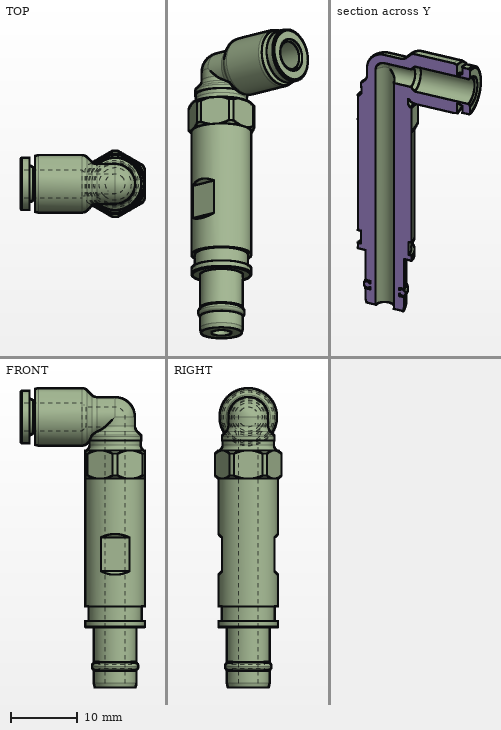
import cadquery as cq
import math


total_height = 45.1
arm_reach = 14.25

collar_diameter = 8.7
collar_radius = collar_diameter / 2
elbow_diameter = 6.0
elbow_radius = elbow_diameter / 2
arm_height = total_height - collar_radius
blend_radius = 1.15
ring_radius = 3.95
ring_width = 1.4
ring_edge = 0.23
ring_neck_root = 2.8
ring_neck_radius = 2.53
ring_neck_flare = 0.5
collar_start = -12.1
collar_lead = 0.55
collar_lead_drop = 0.15
shoulder_start = -5.0

neck_blend_top = 39.35
neck_radius = 3.9
neck_band_radius = 3.95
neck_band_bottom = 37.2
neck_round = 0.4
neck_flare_top = 36.55
neck_flare_radius = 4.35

hex_flats = 9.0
hex_corner_radius = 5.0
hex_bottom = 31.5
hex_top = 35.67
hex_chamfer = 0.45

barrel_radius = 4.5
barrel_bottom = 12.2
groove_radius = 4.0
flange_top = 10.05
flange_bottom = 9.05
flange_edge = 0.15

flat_offset = 3.95
flat_bottom = 17.55
flat_top = 22.6

plug_radius = 3.25
seal_groove_top = 3.9
seal_groove_bottom = 2.53
seal_groove_radius = 2.45
seal_section = 0.6
seal_outer_radius = 3.5
plug_taper_height = 0.68
plug_taper_angle = 15.0

bore_radius = 1.5
socket_radius = 2.1
socket_mouth_radius = 2.45
socket_mouth_depth = 0.3
socket_end = shoulder_start
socket_cone = 0.65

ROUND_RUN = math.sin(math.radians(45))
ROUND_DROP = 1 - math.cos(math.radians(45))
ROUND_MID_RUN = math.sin(math.radians(22.5))
ROUND_MID_DROP = 1 - math.cos(math.radians(22.5))


def turned(profile):
    """Revolve a half profile of (radius, height) about Z."""
    return profile.close().revolve(360, (0, 0, 0), (0, 1, 0))


def make_arm():
    """Turn the collar and release ring about the X axis at the height of the arm."""
    mouth = -arm_reach
    ring_end = mouth + ring_width
    rise = blend_radius * ROUND_DROP
    run = blend_radius * ROUND_RUN
    cone_start = (shoulder_start + run, collar_radius - rise)
    cone_drop = cone_start[1] - (elbow_radius + rise)
    cone_end = (cone_start[0] + cone_drop, elbow_radius + rise)
    mid_run = blend_radius * ROUND_MID_RUN
    mid_rise = blend_radius * ROUND_MID_DROP
    shoulder_end = cone_end[0] + run
    profile = (
        cq.Workplane("XZ")
        .moveTo(mouth, 0)
        .lineTo(mouth, ring_radius - ring_edge)
        .lineTo(mouth + ring_edge, ring_radius)
        .lineTo(ring_end, ring_radius)
        .lineTo(ring_end, ring_neck_root)
        .lineTo(ring_end + ring_neck_flare, ring_neck_radius)
        .lineTo(collar_start, ring_neck_radius)
        .lineTo(collar_start, collar_radius - collar_lead_drop)
        .lineTo(collar_start + collar_lead, collar_radius)
        .lineTo(shoulder_start, collar_radius)
        .threePointArc((shoulder_start + mid_run, collar_radius - mid_rise), cone_start)
        .lineTo(*cone_end)
        .threePointArc((shoulder_end - mid_run, elbow_radius + mid_rise), (shoulder_end, elbow_radius))
        .lineTo(0, elbow_radius)
        .lineTo(0, 0)
        .close()
    )
    arm = profile.revolve(360, (0, 0, 0), (1, 0, 0)).translate((0, 0, arm_height))
    return arm.union(cq.Workplane("XY").sphere(elbow_radius).translate((0, 0, arm_height)))


def make_neck():
    """Upper neck: elbow cylinder, rounded 45 degree shoulder, band and flare onto the hexagon."""
    cone_top = (elbow_radius + blend_radius * ROUND_DROP, neck_blend_top - blend_radius * ROUND_RUN)
    cone_bottom_radius = neck_band_radius - neck_round * ROUND_DROP
    cone_bottom = (cone_bottom_radius, cone_top[1] - (cone_bottom_radius - cone_top[0]))
    round_end = cone_bottom[1] - neck_round * ROUND_RUN
    flare_width = neck_flare_radius - neck_radius
    flare_drop = neck_flare_top - hex_top
    flare_arc_radius = (flare_width**2 + flare_drop**2) / (2 * flare_width)
    half_sweep = math.asin(flare_drop / flare_arc_radius) / 2
    flare_mid = (
        neck_radius + flare_arc_radius * (1 - math.cos(half_sweep)),
        neck_flare_top - flare_arc_radius * math.sin(half_sweep),
    )
    return turned(
        cq.Workplane("XZ")
        .moveTo(0, hex_top)
        .lineTo(neck_flare_radius, hex_top)
        .threePointArc(flare_mid, (neck_radius, neck_flare_top))
        .lineTo(neck_radius, neck_band_bottom)
        .lineTo(neck_band_radius, neck_band_bottom)
        .lineTo(neck_band_radius, round_end)
        .threePointArc(
            (neck_band_radius - neck_round * ROUND_MID_DROP, round_end + neck_round * ROUND_MID_RUN),
            cone_bottom,
        )
        .lineTo(*cone_top)
        .threePointArc(
            (elbow_radius + blend_radius * ROUND_MID_DROP, neck_blend_top - blend_radius * ROUND_MID_RUN),
            (elbow_radius, neck_blend_top),
        )
        .lineTo(elbow_radius, arm_height)
        .lineTo(0, arm_height)
    )


def make_hexagon():
    """Hexagon with flats facing +X and -X, its corners cut to a chamfered round."""
    height = hex_top - hex_bottom
    corner_to_corner = hex_flats / math.cos(math.radians(30))
    prism = cq.Workplane("XY").polygon(6, corner_to_corner).extrude(height)
    prism = prism.rotate((0, 0, 0), (0, 0, 1), 30)
    blank = cq.Workplane("XY").circle(hex_corner_radius).extrude(height)
    blank = blank.faces("<Z or >Z").chamfer(hex_chamfer)
    return prism.intersect(blank).translate((0, 0, hex_bottom))


def make_lower_stem():
    """Barrel, clip groove, flange and plug end, turned about Z."""
    taper = plug_taper_height * math.tan(math.radians(plug_taper_angle))
    return turned(
        cq.Workplane("XZ")
        .moveTo(0, 0)
        .lineTo(plug_radius - taper, 0)
        .lineTo(plug_radius, plug_taper_height)
        .lineTo(plug_radius, seal_groove_bottom)
        .lineTo(seal_groove_radius, seal_groove_bottom)
        .lineTo(seal_groove_radius, seal_groove_top)
        .lineTo(plug_radius, seal_groove_top)
        .lineTo(plug_radius, flange_bottom)
        .lineTo(barrel_radius - flange_edge, flange_bottom)
        .lineTo(barrel_radius, flange_bottom + flange_edge)
        .lineTo(barrel_radius, flange_top)
        .lineTo(groove_radius, flange_top)
        .lineTo(groove_radius, barrel_bottom)
        .lineTo(barrel_radius, barrel_bottom)
        .lineTo(barrel_radius, hex_bottom)
        .lineTo(0, hex_bottom)
    )


def make_seal_ring():
    """Round-section sealing ring seated in the plug groove."""
    seal_height = (seal_groove_top + seal_groove_bottom) / 2
    section_center = seal_outer_radius - seal_section
    ring = cq.Solid.makeTorus(section_center, seal_section, cq.Vector(0, 0, seal_height))
    return cq.Workplane(ring)


def make_flat_cutter():
    """Wrench flat on the -Y side, running out through the barrel at 45 degrees."""
    depth = hex_corner_radius - flat_offset
    return (
        cq.Workplane("YZ")
        .moveTo(-flat_offset, flat_bottom)
        .lineTo(-flat_offset, flat_top)
        .lineTo(-flat_offset - depth, flat_top + depth)
        .lineTo(-flat_offset - depth, flat_bottom - depth)
        .close()
        .extrude(barrel_radius, both=True)
    )


def make_bore():
    """Stem bore with a spherical elbow, plus the stepped tube socket along the arm."""
    mouth = -arm_reach
    stem_bore = cq.Workplane("XY").circle(bore_radius).extrude(arm_height)
    elbow = cq.Workplane("XY").sphere(bore_radius).translate((0, 0, arm_height))
    socket = (
        cq.Workplane("XZ")
        .moveTo(mouth, 0)
        .lineTo(mouth, socket_mouth_radius)
        .lineTo(mouth + socket_mouth_depth, socket_radius)
        .lineTo(socket_end, socket_radius)
        .lineTo(socket_end + socket_cone, bore_radius)
        .lineTo(0, bore_radius)
        .lineTo(0, 0)
        .close()
        .revolve(360, (0, 0, 0), (1, 0, 0))
        .translate((0, 0, arm_height))
    )
    return stem_bore.union(elbow).union(socket)


body = make_lower_stem().union(make_hexagon()).union(make_neck()).union(make_arm())
body = body.union(make_seal_ring())
flat_cutter = make_flat_cutter()
for side_angle in (0, 180):
    body = body.cut(flat_cutter.rotate((0, 0, 0), (0, 0, 1), side_angle))
result = body.cut(make_bore())